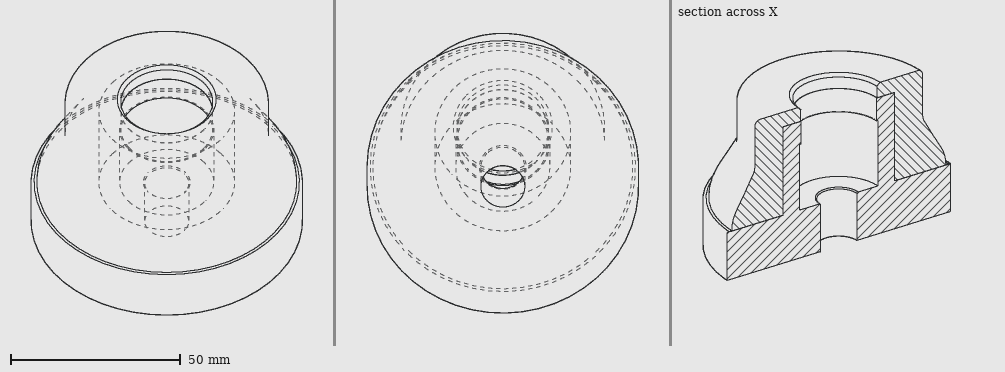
import cadquery as cq
import math

base_radius = 40.0
base_height = 16.0
total_height = 50.0

base_edge_fillet = 0.5
hub_radius = 20.0
hub_top = 45.2
hub_lip_radius = 13.4
hub_lip_bottom = 37.5
hub_relief_radius = 13.8
bore_floor = base_height
bolt_hole_radius = 6.5
bolt_hole_chamfer = 0.4

skirt_radius = 39.0
skirt_rise = 0.12
dome_radius = 38.2
dome_arc = 11.8
cone_angle = math.radians(30)
neck_radius = 30.0
neck_arc = 5.0
top_fillet = 2.0

cap_bore_radius = 13.5
cap_bore_chamfer = 1.0


def axial_cylinder(radius, bottom, top):
    """Upright cylinder on the part axis."""
    return cq.Workplane("XY").workplane(offset=bottom).circle(radius).extrude(top - bottom)


def edge_chamfer(bore_radius, rim_height, size):
    """Cutting cone that breaks the upper rim of a bore at 45 degrees."""
    return (
        cq.Workplane("XZ")
        .moveTo(0, rim_height - size)
        .lineTo(bore_radius, rim_height - size)
        .lineTo(bore_radius + size, rim_height)
        .lineTo(0, rim_height)
        .close()
        .revolve(360, (0, 0), (0, 1))
    )


def make_base():
    """Round base with a central hub, a stepped blind bore and a bolt hole in its floor."""
    disc = axial_cylinder(base_radius, 0, base_height).edges().fillet(base_edge_fillet)
    hub = axial_cylinder(hub_radius, base_height, hub_top)
    lip_bore = axial_cylinder(hub_lip_radius, hub_lip_bottom, hub_top)
    relief_bore = axial_cylinder(hub_relief_radius, bore_floor, hub_lip_bottom)
    bolt_hole = axial_cylinder(bolt_hole_radius, 0, bore_floor)
    body = disc.union(hub).cut(lip_bore).cut(relief_bore).cut(bolt_hole)
    return body.cut(edge_chamfer(bolt_hole_radius, bore_floor, bolt_hole_chamfer))


def cap_outer_profile():
    """Half outline of the solid cap: skirt, dome, cone, neck and rounded top."""
    dome_base = base_height + skirt_rise
    dome_center_radius = dome_radius - dome_arc
    cone_start = (
        dome_center_radius + dome_arc * math.cos(cone_angle),
        dome_base + dome_arc * math.sin(cone_angle),
    )
    dome_middle = (
        dome_center_radius + dome_arc * math.cos(cone_angle / 2),
        dome_base + dome_arc * math.sin(cone_angle / 2),
    )
    neck_center_radius = neck_radius + neck_arc
    cone_end_radius = neck_center_radius - neck_arc * math.cos(cone_angle)
    cone_end_height = cone_start[1] + (cone_start[0] - cone_end_radius) / math.tan(cone_angle)
    neck_bottom = cone_end_height + neck_arc * math.sin(cone_angle)
    neck_middle = (
        neck_center_radius - neck_arc * math.cos(cone_angle / 2),
        neck_bottom - neck_arc * math.sin(cone_angle / 2),
    )
    return (
        cq.Workplane("XZ")
        .moveTo(0, base_height)
        .lineTo(skirt_radius, base_height)
        .lineTo(dome_radius, dome_base)
        .threePointArc(dome_middle, cone_start)
        .lineTo(cone_end_radius, cone_end_height)
        .threePointArc(neck_middle, (neck_radius, neck_bottom))
        .lineTo(neck_radius, total_height)
        .lineTo(0, total_height)
        .close()
    )


def make_cap():
    """Bell-shaped cap that fits over the hub and rests on the base."""
    body = cap_outer_profile().revolve(360, (0, 0), (0, 1))
    body = body.faces(">Z").edges().fillet(top_fillet)
    hub_recess = axial_cylinder(hub_radius, base_height, hub_top)
    bore = axial_cylinder(cap_bore_radius, hub_top, total_height)
    bore_rim = edge_chamfer(cap_bore_radius, total_height, cap_bore_chamfer)
    return body.cut(hub_recess).cut(bore).cut(bore_rim)


base = make_base()
cap = make_cap()

result = cq.Compound.makeCompound([base.val(), cap.val()])